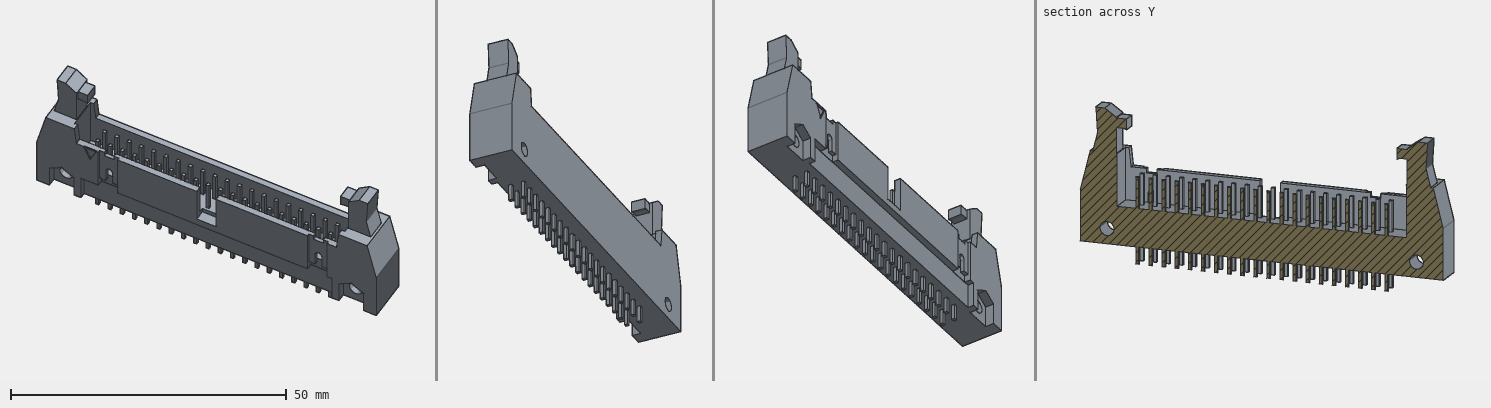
import cadquery as cq
import math

LENGTH = 70.4
WIDTH = 8.5
HALF_LENGTH = LENGTH / 2
FRONT = -WIDTH / 2
BACK = WIDTH / 2
WALL_TOP = 13.75
WALL = 1.25

TOWER_TOP = 17.35
TOWER_BEND = 9.9
TOWER_TOP_OUTER = 33.3
TOWER_TOP_INNER = 27.35
TOWER_FOOT_INNER = 26.95

CAVITY_HALF_LENGTH = 28.0
CAVITY_WIDTH = WIDTH - 2 * WALL
CAVITY_FLOOR = 7.4

RELIEF_HALF_LENGTH = 26.0
RELIEF_TOP = 5.1
RELIEF_DEPTH = 1.2
KEYWAY_WIDTH = 4.0
KEYWAY_FLOOR = 6.55
KEYWAY_DEPTH = 2.1
LEFT_SLOT_CENTER = -20.42
RIGHT_SLOT_CENTER = 22.94
SLOT_WIDTH = 4.0
SLOT_DEPTH = 0.5
WINDOW_WIDTH = 1.4
WINDOW_TOP = 9.8
NOTCH_WIDTH = 2.0
NOTCH_DEPTH = 0.85

MARK_WIDTH = 2.6
MARK_HEIGHT = 2.6
MARK_DEPTH = 0.3
MARK_INSET = 0.15
MARK_TOP = WALL_TOP - MARK_INSET

MOUNT_CENTER = 30.0
MOUNT_HEIGHT = 2.95
HOLE_DIAMETER = 2.6
NUT_FLATS = 5.1
NUT_POCKET_DEPTH = 1.7

LATCH_WIDTH = 4.0
LATCH_TOP = 25.75
LATCH_INNER = 28.15
LATCH_BEVEL_BOTTOM = 24.2
LATCH_BEVEL_TOP_INNER = 30.4
LATCH_TOP_OUTER = 32.2
LATCH_WAIST_OUTER = 31.9
LATCH_WAIST = 20.85
LATCH_FOOT_OUTER = 32.8
HOOK_WIDTH = 2.75
HOOK_TOP = 24.1
HOOK_BOTTOM = 22.2
HOOK_LIP_BOTTOM = 22.0
HOOK_LIP = 0.7
HOOK_END = 26.2

PITCH = 2.54
COLUMNS = 20
ROWS = 2
FIRST_PIN = -(COLUMNS - 1) / 2 * PITCH
PIN_SIDE = 0.64
PIN_BOTTOM = -3.2
PIN_TOP = 13.3


def block(x0, x1, y0, y1, z0, z1):
    """Box between two opposite corners."""
    return cq.Workplane("XY").box(x1 - x0, y1 - y0, z1 - z0, centered=False).translate((x0, y0, z0))


def prism(outline, y0, y1):
    """Closed X-Z outline extruded along Y from y0 to y1."""
    return cq.Workplane("XZ", origin=(0, y0, 0)).polyline(outline).close().extrude(y0 - y1)


def both_ends(shape):
    """The shape together with its mirror image at the other end."""
    return shape.union(shape.mirror("YZ"))


def housing():
    """Solid body with a tower at each end."""
    right_half = [
        (HALF_LENGTH, 0),
        (HALF_LENGTH, TOWER_BEND),
        (TOWER_TOP_OUTER, TOWER_TOP),
        (TOWER_TOP_INNER, TOWER_TOP),
        (TOWER_FOOT_INNER, WALL_TOP),
    ]
    left_half = [(-x, z) for x, z in reversed(right_half)]
    return prism(right_half + left_half, FRONT, BACK)


def cavity():
    """Plug cavity, open at the top."""
    return block(
        -CAVITY_HALF_LENGTH, CAVITY_HALF_LENGTH,
        -CAVITY_WIDTH / 2, CAVITY_WIDTH / 2,
        CAVITY_FLOOR, TOWER_TOP,
    )


def front_relief():
    """Step along the foot of the front face, slightly shallower than the wall thickness."""
    return block(-RELIEF_HALF_LENGTH, RELIEF_HALF_LENGTH, FRONT, FRONT + RELIEF_DEPTH, 0, RELIEF_TOP)


def keyway():
    """Polarising slot through the middle of the front wall, running on into the floor."""
    half = KEYWAY_WIDTH / 2
    return block(-half, half, FRONT, FRONT + KEYWAY_DEPTH, KEYWAY_FLOOR, WALL_TOP)


def side_slot(center):
    """Shallow slot in the front wall with an undercut foot, an arched window and a top notch."""
    x0 = center - SLOT_WIDTH / 2
    x1 = center + SLOT_WIDTH / 2
    inside = FRONT + WALL
    slot = block(x0, x1, FRONT, FRONT + SLOT_DEPTH, RELIEF_TOP, WALL_TOP)
    foot = block(x0, x1, FRONT, inside, RELIEF_TOP, KEYWAY_FLOOR)

    half = WINDOW_WIDTH / 2
    window = (
        cq.Workplane("XZ", origin=(center, FRONT, 0))
        .moveTo(-half, KEYWAY_FLOOR)
        .lineTo(-half, WINDOW_TOP - half)
        .threePointArc((0, WINDOW_TOP), (half, WINDOW_TOP - half))
        .lineTo(half, KEYWAY_FLOOR)
        .close()
        .extrude(-WALL)
    )
    notch = block(
        center - NOTCH_WIDTH / 2, center + NOTCH_WIDTH / 2,
        FRONT, inside,
        WALL_TOP - NOTCH_DEPTH, WALL_TOP,
    )
    return slot.union(foot).union(window).union(notch)


def mount():
    """Through hole along Y with a hexagonal nut pocket open at the bottom."""
    half = NUT_FLATS / 2
    hex_angle = math.radians(30)
    shoulder = MOUNT_HEIGHT + half * math.tan(hex_angle)
    apex = MOUNT_HEIGHT + half / math.cos(hex_angle)
    pocket = prism(
        [
            (MOUNT_CENTER - half, 0),
            (MOUNT_CENTER - half, shoulder),
            (MOUNT_CENTER, apex),
            (MOUNT_CENTER + half, shoulder),
            (MOUNT_CENTER + half, 0),
        ],
        FRONT,
        FRONT + NUT_POCKET_DEPTH,
    )
    hole = (
        cq.Workplane("XZ", origin=(MOUNT_CENTER, FRONT, MOUNT_HEIGHT))
        .circle(HOLE_DIAMETER / 2)
        .extrude(-WIDTH)
    )
    return pocket.union(hole)


def pin_one_mark():
    """Triangular recess pointing down at the first pin."""
    half = MARK_WIDTH / 2
    return prism(
        [
            (FIRST_PIN - half, MARK_TOP),
            (FIRST_PIN + half, MARK_TOP),
            (FIRST_PIN, MARK_TOP - MARK_HEIGHT),
        ],
        FRONT,
        FRONT + MARK_DEPTH,
    )


def latch():
    """Ejector latch standing on a tower, with a hook over the cavity."""
    arm = prism(
        [
            (LATCH_INNER, TOWER_TOP),
            (LATCH_INNER, LATCH_BEVEL_BOTTOM),
            (LATCH_BEVEL_TOP_INNER, LATCH_TOP),
            (LATCH_TOP_OUTER, LATCH_TOP),
            (LATCH_WAIST_OUTER, LATCH_WAIST),
            (LATCH_FOOT_OUTER, TOWER_TOP),
        ],
        -LATCH_WIDTH / 2,
        LATCH_WIDTH / 2,
    )
    lip_inner = HOOK_END + HOOK_LIP
    hook = prism(
        [
            (LATCH_INNER, HOOK_TOP),
            (HOOK_END, HOOK_TOP),
            (HOOK_END, HOOK_LIP_BOTTOM),
            (lip_inner, HOOK_BOTTOM),
            (LATCH_INNER, HOOK_BOTTOM),
        ],
        -HOOK_WIDTH / 2,
        HOOK_WIDTH / 2,
    )
    return arm.union(hook)


def pins():
    """Two rows of square contact pins running down through the floor."""
    places = [
        (FIRST_PIN + column * PITCH, (row - (ROWS - 1) / 2) * PITCH)
        for column in range(COLUMNS)
        for row in range(ROWS)
    ]
    return (
        cq.Workplane("XY", origin=(0, 0, PIN_BOTTOM))
        .pushPoints(places)
        .rect(PIN_SIDE, PIN_SIDE)
        .extrude(PIN_TOP - PIN_BOTTOM)
    )


body = housing().cut(cavity()).cut(front_relief()).cut(keyway())
body = body.cut(side_slot(LEFT_SLOT_CENTER)).cut(side_slot(RIGHT_SLOT_CENTER))
body = body.cut(both_ends(mount())).cut(pin_one_mark())
body = body.union(both_ends(latch()))
result = body.union(pins())